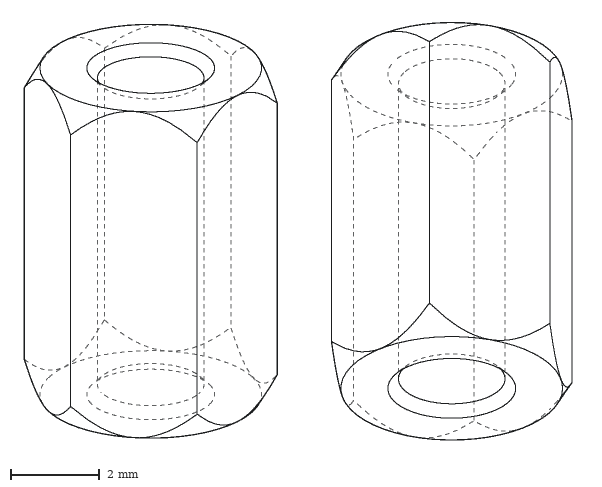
import cadquery as cq
import math

length = 8.0
across_corners = 5.77
face_diameter = 4.99
edge_angle = 60.0
bore_diameter = 2.4
countersink_diameter = 2.88

corner_radius = across_corners / 2
face_radius = face_diameter / 2
edge_height = (corner_radius - face_radius) * math.tan(math.radians(edge_angle))
bore_radius = bore_diameter / 2
countersink_radius = countersink_diameter / 2
countersink_depth = countersink_radius - bore_radius


def hexagonal_bar():
    """Hexagonal prism with corners on the Y axis and flats facing X."""
    return (
        cq.Workplane("XY")
        .transformed(rotate=(0, 0, 90))
        .polygon(6, across_corners)
        .extrude(length)
    )


def turned_envelope():
    """Revolved body: coned outer edges and a countersunk through bore."""
    profile = [
        (bore_radius, countersink_depth),
        (countersink_radius, 0),
        (face_radius, 0),
        (corner_radius, edge_height),
        (corner_radius, length - edge_height),
        (face_radius, length),
        (countersink_radius, length),
        (bore_radius, length - countersink_depth),
    ]
    return cq.Workplane("XZ").polyline(profile).close().revolve(360, (0, 0), (0, 1))


result = hexagonal_bar().intersect(turned_envelope())